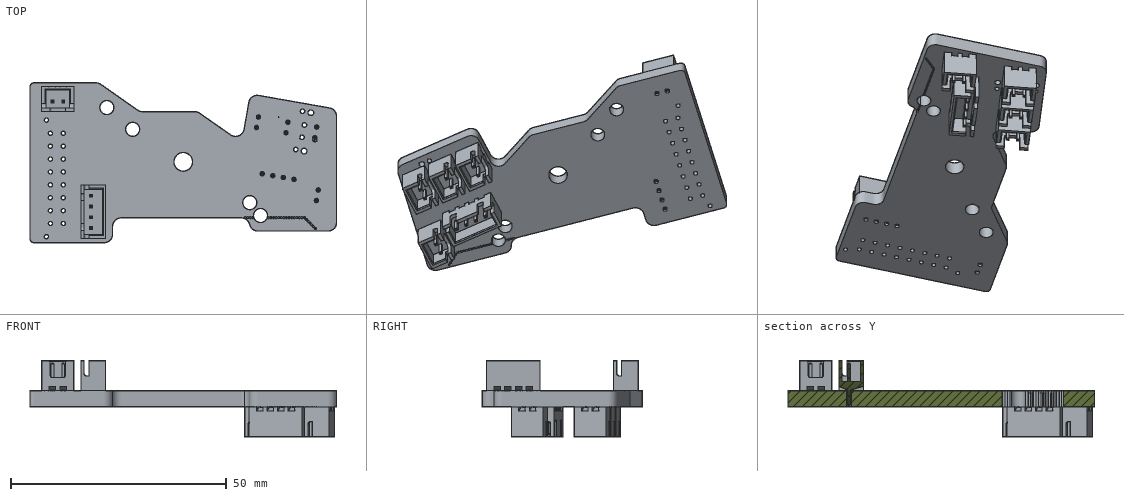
import cadquery as cq
import math

BOARD_LENGTH = 71.2
BOARD_WIDTH = 37.2
BOARD_THICKNESS = 3.8
BEND_RADIUS = 2.0
LEFT_CORNER_RADIUS = 1.0
HEAD_TILT = 10.0

FOOT_END_X = 19.2
LOWER_EDGE_Y = 5.8
TAB_EDGE_Y = 2.7
TAB_START_X = 49.05
SHOULDER_X = 15.95
WAIST_Y = 30.5
WAIST_START_X = 25.5
WAIST_END_X = 38.9
HEAD_RIGHT_Y = 31.05
HEAD_TOP_LENGTH = 20.35
HEAD_LEFT_LENGTH = 11.45

CENTRE_HOLE = (35.6, 18.8)
CENTRE_HOLE_DIAMETER = 4.3
MOUNT_HOLES = [(17.9, 31.4), (23.85, 26.35), (51.05, 9.3), (53.55, 6.35)]
MOUNT_HOLE_DIAMETER = 3.2

HEADER_FIRST = (4.8, 4.5)
HEADER_PITCH = 3.0
HEADER_COLUMNS = 2
HEADER_ROWS = 8
HEADER_HOLE_DIAMETER = 0.9
HEADER_POST_HOLES = [(3.85, 1.4), (3.85, 28.5)]

SWITCH_HOLES = [(63.3, 30.55), (63.7, 27.35), (63.15, 24.5), (61.7, 21.65), (66.15, 23.9)]
SWITCH_HOLE_DIAMETER = 1.0
SWITCH_POST_HOLES = [(65.2, 30.2), (63.65, 21.3)]
SWITCH_POST_DIAMETER = 1.3

PERFORATION_DIAMETER = 0.4
PERFORATION_PITCH = 0.6
PERFORATION_START = (50.0, 5.85)
STRAIGHT_PERFORATIONS = 24
SLOPING_PERFORATIONS = 6
PERFORATION_SLOPE = 45.0

PIN_PITCH = 2.5
PIN_WIDTH = 0.65
PIN_TIP = 0.2
PIN_TOP_GAP = 0.6
PIN_TAIL = 3.4
PIN_HOLE_DIAMETER = 1.0

HOUSING_HEIGHT = 7.0
FRONT_DEPTH = 2.35
BACK_DEPTH = 3.4
END_MARGIN = 2.5
FRONT_WALL = 0.8
BACK_WALL = 0.8
END_WALL = 1.0
RIM_CHAMFER = 0.25
CAVITY_DEPTH = 4.85

WINDOW_MARGIN = 1.9
WINDOW_WIDTH = 1.65
WINDOW_DEPTH = 3.9
WINDOW_ROUNDING = 0.65
MIN_WALL_BETWEEN_WINDOWS = 1.4
SLOT_WIDTH = 1.1
SLOT_DEPTH = 3.55
SLOT_ROUNDING = 0.65
NOTCH_WIDTH = 1.5
NOTCH_HEIGHT = 1.0

TOP_CONNECTORS = [
    (2, (6.5, 32.8), 0.0),
    (4, (14.2, 7.2), -90.0),
]
BOTTOM_CONNECTORS = [
    (2, (52.8, 28.0), 90.0 - HEAD_TILT),
    (2, (59.7, 26.8), 90.0 - HEAD_TILT),
    (2, (66.35, 25.6), 90.0 - HEAD_TILT),
    (2, (66.7, 11.05), 90.0 - HEAD_TILT),
    (4, (57.6, 15.4), -HEAD_TILT),
]


def pin_offsets(pin_count):
    """Pin places along a connector, centred on its pin row."""
    return [(i - (pin_count - 1) / 2) * PIN_PITCH for i in range(pin_count)]


def pin_points(pin_count, centre, angle):
    """Pin places on the board."""
    turn = math.radians(angle)
    return [
        (centre[0] + offset * math.cos(turn), centre[1] + offset * math.sin(turn))
        for offset in pin_offsets(pin_count)
    ]


def block(x_range, y_range, z_range):
    """Box between two limits along each axis."""
    return cq.Workplane("XY").box(
        x_range[1] - x_range[0], y_range[1] - y_range[0], z_range[1] - z_range[0], centered=False
    ).translate((x_range[0], y_range[0], z_range[0]))


def board_blank():
    tilt = math.radians(HEAD_TILT)
    head_right = (BOARD_LENGTH, HEAD_RIGHT_Y)
    head_left = (
        head_right[0] - HEAD_TOP_LENGTH * math.cos(tilt),
        head_right[1] + HEAD_TOP_LENGTH * math.sin(tilt),
    )
    neck = (
        head_left[0] - HEAD_LEFT_LENGTH * math.sin(tilt),
        head_left[1] - HEAD_LEFT_LENGTH * math.cos(tilt),
    )
    drop = LOWER_EDGE_Y - TAB_EDGE_Y
    swing = math.acos(1 - drop / (2 * BEND_RADIUS))
    half_run = BEND_RADIUS * math.sin(swing)
    hollow_mid = (
        TAB_START_X + BEND_RADIUS * math.sin(swing / 2),
        LOWER_EDGE_Y - BEND_RADIUS * (1 - math.cos(swing / 2)),
    )
    turning_point = (TAB_START_X + half_run, LOWER_EDGE_Y - drop / 2)
    round_mid = (
        2 * turning_point[0] - hollow_mid[0],
        2 * turning_point[1] - hollow_mid[1],
    )
    tab_start = (TAB_START_X + 2 * half_run, TAB_EDGE_Y)

    blank = (
        cq.Workplane("XY")
        .moveTo(0, 0)
        .lineTo(FOOT_END_X, 0)
        .lineTo(FOOT_END_X, LOWER_EDGE_Y)
        .lineTo(TAB_START_X, LOWER_EDGE_Y)
        .threePointArc(hollow_mid, turning_point)
        .threePointArc(round_mid, tab_start)
        .lineTo(BOARD_LENGTH, TAB_EDGE_Y)
        .lineTo(*head_right)
        .lineTo(*head_left)
        .lineTo(*neck)
        .lineTo(WAIST_END_X, WAIST_Y)
        .lineTo(WAIST_START_X, WAIST_Y)
        .lineTo(SHOULDER_X, BOARD_WIDTH)
        .lineTo(0, BOARD_WIDTH)
        .close()
        .extrude(BOARD_THICKNESS)
    )
    bends = [
        (FOOT_END_X, 0),
        (FOOT_END_X, LOWER_EDGE_Y),
        (BOARD_LENGTH, TAB_EDGE_Y),
        head_right,
        head_left,
        neck,
        (WAIST_END_X, WAIST_Y),
        (WAIST_START_X, WAIST_Y),
        (SHOULDER_X, BOARD_WIDTH),
    ]
    blank = round_corners(blank, bends, BEND_RADIUS)
    return round_corners(blank, [(0, 0), (0, BOARD_WIDTH)], LEFT_CORNER_RADIUS)


def round_corners(plate, corners, radius):
    """Fillet the upright edges that stand on the given corners."""
    middle = BOARD_THICKNESS / 2
    for x, y in corners:
        edge = plate.edges("|Z").edges(cq.NearestToPointSelector((x, y, middle)))
        plate = plate.newObject(edge.vals()).fillet(radius)
    return plate


def header_points():
    return [
        (HEADER_FIRST[0] + column * HEADER_PITCH, HEADER_FIRST[1] + row * HEADER_PITCH)
        for column in range(HEADER_COLUMNS)
        for row in range(HEADER_ROWS)
    ]


def perforation_points():
    """Straight row along the lower edge, then a sloping row down toward the tab edge."""
    straight = [
        (PERFORATION_START[0] + i * PERFORATION_PITCH, PERFORATION_START[1])
        for i in range(STRAIGHT_PERFORATIONS)
    ]
    slope = math.radians(PERFORATION_SLOPE)
    step_x = PERFORATION_PITCH * math.cos(slope)
    step_y = PERFORATION_PITCH * math.sin(slope)
    corner_x, corner_y = straight[-1]
    sloping = [
        (corner_x + i * step_x, corner_y - i * step_y)
        for i in range(1, SLOPING_PERFORATIONS + 1)
    ]
    return straight + sloping


def connector_pin_points():
    return [
        point
        for pin_count, centre, angle in TOP_CONNECTORS + BOTTOM_CONNECTORS
        for point in pin_points(pin_count, centre, angle)
    ]


def make_board():
    board = board_blank()
    hole_groups = [
        ([CENTRE_HOLE], CENTRE_HOLE_DIAMETER),
        (MOUNT_HOLES, MOUNT_HOLE_DIAMETER),
        (header_points() + HEADER_POST_HOLES, HEADER_HOLE_DIAMETER),
        (SWITCH_HOLES, SWITCH_HOLE_DIAMETER),
        (SWITCH_POST_HOLES, SWITCH_POST_DIAMETER),
        (perforation_points(), PERFORATION_DIAMETER),
        (connector_pin_points(), PIN_HOLE_DIAMETER),
    ]
    for points, diameter in hole_groups:
        for x, y in points:
            drill = cq.Workplane("XY").center(x, y).circle(diameter / 2).extrude(BOARD_THICKNESS)
            board = board.cut(drill)
    return board


def housing_shell(half_length):
    """Open box whose inner rim is chamfered."""
    shell = block((-half_length, half_length), (-FRONT_DEPTH, BACK_DEPTH), (0, HOUSING_HEIGHT))
    inner_half = half_length - END_WALL
    cavity = block(
        (-inner_half, inner_half),
        (FRONT_WALL - FRONT_DEPTH, BACK_DEPTH - BACK_WALL),
        (HOUSING_HEIGHT - CAVITY_DEPTH, HOUSING_HEIGHT),
    )
    shell = shell.cut(cavity)
    rim_box = cq.selectors.BoxSelector(
        (-inner_half - RIM_CHAMFER / 2, FRONT_WALL / 2 - FRONT_DEPTH, HOUSING_HEIGHT - RIM_CHAMFER),
        (inner_half + RIM_CHAMFER / 2, BACK_DEPTH - BACK_WALL / 2, HOUSING_HEIGHT + RIM_CHAMFER),
    )
    inner_rim = shell.faces(">Z").edges(rim_box).edges("not(<Y)")
    return shell.newObject(inner_rim.vals()).chamfer(RIM_CHAMFER)


def front_windows(half_length):
    """One window at each end of the front wall; they merge into one on a short housing."""
    outer = half_length - WINDOW_MARGIN
    inner = outer - WINDOW_WIDTH
    if 2 * inner < MIN_WALL_BETWEEN_WINDOWS:
        inner = 0
    sill = HOUSING_HEIGHT - WINDOW_DEPTH
    right = block((inner, outer), (-FRONT_DEPTH, FRONT_WALL - FRONT_DEPTH), (sill, HOUSING_HEIGHT))
    right = right.edges("|Y and >X and <Z").fillet(WINDOW_ROUNDING)
    return right.union(right.mirror("YZ"))


def end_slots(half_length):
    """Slots through both end walls, next to the front wall."""
    front = FRONT_WALL - FRONT_DEPTH
    slots = block(
        (-half_length, half_length),
        (front, front + SLOT_WIDTH),
        (HOUSING_HEIGHT - SLOT_DEPTH, HOUSING_HEIGHT),
    )
    return slots.edges("|X and <Y and <Z").fillet(SLOT_ROUNDING)


def seat_notches(pin_count):
    """At every pin, notches whose roofs slope down from the front and back faces to the pin row."""
    profile = [
        (-FRONT_DEPTH, 0),
        (-FRONT_DEPTH, NOTCH_HEIGHT),
        (0, 0),
        (BACK_DEPTH, NOTCH_HEIGHT),
        (BACK_DEPTH, 0),
    ]
    front = cq.Workplane("YZ").polyline(profile[:3]).close().extrude(NOTCH_WIDTH / 2, both=True)
    back = cq.Workplane("YZ").polyline(profile[2:]).close().extrude(NOTCH_WIDTH / 2, both=True)
    return [
        notch.translate((offset, 0, 0)) for offset in pin_offsets(pin_count) for notch in (front, back)
    ]


def connector_pin(offset):
    half = PIN_WIDTH / 2
    pin = block(
        (offset - half, offset + half), (-half, half), (-PIN_TAIL, HOUSING_HEIGHT - PIN_TOP_GAP)
    )
    return pin.faces("<Z or >Z").chamfer(PIN_TIP)


def make_connector(pin_count):
    """Housing and its moulded-in pins as one solid."""
    half_length = (pin_count - 1) * PIN_PITCH / 2 + END_MARGIN
    connector = (
        housing_shell(half_length)
        .cut(front_windows(half_length))
        .cut(end_slots(half_length))
    )
    for notch in seat_notches(pin_count):
        connector = connector.cut(notch)
    for offset in pin_offsets(pin_count):
        connector = connector.union(connector_pin(offset))
    return connector


def place(connector, centre, angle, height):
    return connector.rotate((0, 0, 0), (0, 0, 1), angle).translate((centre[0], centre[1], height))


board = make_board()

connectors = []
for pin_count, centre, angle in TOP_CONNECTORS:
    upright = make_connector(pin_count)
    connectors.append(place(upright, centre, angle, BOARD_THICKNESS))
for pin_count, centre, angle in BOTTOM_CONNECTORS:
    hanging = make_connector(pin_count).rotate((0, 0, 0), (1, 0, 0), 180)
    connectors.append(place(hanging, centre, angle, 0))

result = cq.Compound.makeCompound([board.val()] + [connector.val() for connector in connectors])